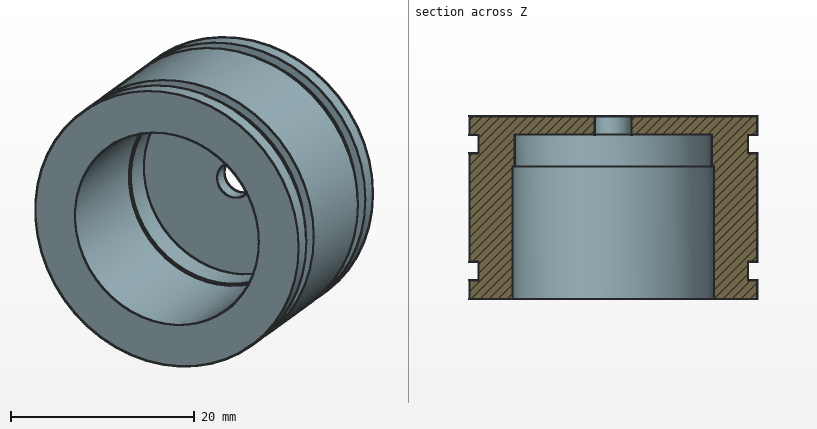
import cadquery as cq

outer_diameter = 31.5
length = 20.0
groove_diameter = 29.5
groove_width = 2.0
flange_width = 2.08
mouth_diameter = 22.0
bore_diameter = 21.5
hole_diameter = 4.0
mouth_depth = 14.5
floor_thickness = 2.02


def cylinder_along_y(diameter, start, depth):
    """Cylinder on the Y axis that runs from start towards +Y."""
    plane = cq.Workplane("XZ", origin=(0, start, 0))
    return plane.circle(diameter / 2).extrude(-depth)


def ring_groove(start):
    """Ring of material removed by one outer groove."""
    blank = cylinder_along_y(outer_diameter, start, groove_width)
    return blank.cut(cylinder_along_y(groove_diameter, start, groove_width))


front = -length / 2
back = length / 2
result = cylinder_along_y(outer_diameter, front, length)

for groove_start in (front + flange_width, back - flange_width - groove_width):
    result = result.cut(ring_groove(groove_start))

result = result.cut(cylinder_along_y(mouth_diameter, front, mouth_depth))
result = result.cut(cylinder_along_y(bore_diameter, front, length - floor_thickness))

result = result.cut(cylinder_along_y(hole_diameter, front, length))